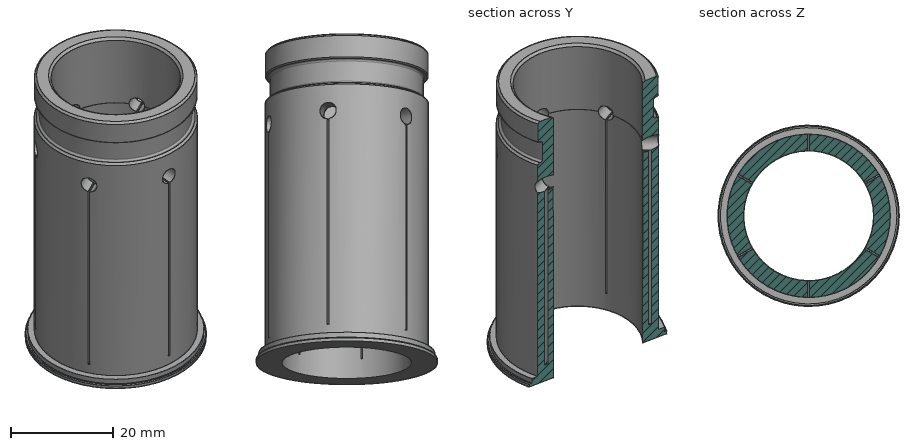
import cadquery as cq
import math

height = 62.5
body_diameter = 32.0
head_diameter = 31.9
bore_diameter = 25.3
relief_diameter = 25.4
relief_top = 47.0

neck_diameter = 30.0
neck_bottom = 52.7
neck_fillet = 0.4
neck_top = 57.5
shoulder_chamfer = 0.45
head_bottom_chamfer = 0.25
rim_chamfer = 0.45
bore_chamfer = 0.5

flange_diameter = 35.5
flange_thickness = 0.8
flange_chamfer = 0.2
step_diameter = 34.5
step_top = 1.9

slit_count = 6
hole_diameter = 3.25
hole_height = 47.0
slit_width = 0.3
slit_bottom = 3.95


def disc(diameter, bottom, top):
    """Solid cylinder on the Z axis between two heights."""
    return cq.Workplane("XY").workplane(offset=bottom).circle(diameter / 2).extrude(top - bottom)


def neck_root(shoulder_height, direction):
    """Concave fillet ring where the neck meets a shoulder; direction +1 rises, -1 hangs."""
    tangent_height = shoulder_height + direction * neck_fillet
    corner_angle = math.radians(45)
    arc_middle = (
        neck_diameter / 2 + neck_fillet * (1 - math.cos(corner_angle)),
        tangent_height - direction * neck_fillet * math.sin(corner_angle),
    )
    return (
        cq.Workplane("XZ")
        .moveTo(0, shoulder_height)
        .lineTo(neck_diameter / 2 + neck_fillet, shoulder_height)
        .threePointArc(arc_middle, (neck_diameter / 2, tangent_height))
        .lineTo(0, tangent_height)
        .close()
        .revolve(360, (0, 0, 0), (0, 1, 0))
    )


def radial_cutter(angle):
    """Round hole and the slit below it, reaching from the axis out through the wall."""
    reach = flange_diameter / 2
    hole = cq.Workplane("XZ", origin=(0, 0, hole_height)).circle(hole_diameter / 2).extrude(reach)
    slit_length = hole_height - slit_bottom
    slit = (
        cq.Workplane("XZ", origin=(0, 0, slit_bottom + slit_length / 2))
        .rect(slit_width, slit_length)
        .extrude(reach)
    )
    return hole.union(slit).rotate((0, 0, 0), (0, 0, 1), angle)


flange = disc(flange_diameter, 0, flange_thickness).edges(">Z").chamfer(flange_chamfer)
step = disc(step_diameter, 0, step_top)
body = disc(body_diameter, 0, neck_bottom).edges(">Z").chamfer(shoulder_chamfer)
neck = disc(neck_diameter, 0, height - rim_chamfer)
head = (
    disc(head_diameter, neck_top, height)
    .edges(">Z").chamfer(rim_chamfer)
    .edges("<Z").chamfer(head_bottom_chamfer)
)
neck_roots = neck_root(neck_bottom, 1).union(neck_root(neck_top, -1))
sleeve = flange.union(step).union(body).union(neck).union(neck_roots).union(head)

bore_rim = (
    cq.Workplane("XY")
    .workplane(offset=height - bore_chamfer)
    .circle(bore_diameter / 2)
    .workplane(offset=bore_chamfer)
    .circle(bore_diameter / 2 + bore_chamfer)
    .loft()
)
sleeve = sleeve.cut(disc(bore_diameter, 0, height))
sleeve = sleeve.cut(disc(relief_diameter, 0, relief_top))
sleeve = sleeve.cut(bore_rim)

for index in range(slit_count):
    sleeve = sleeve.cut(radial_cutter(index * 360 / slit_count))

result = sleeve